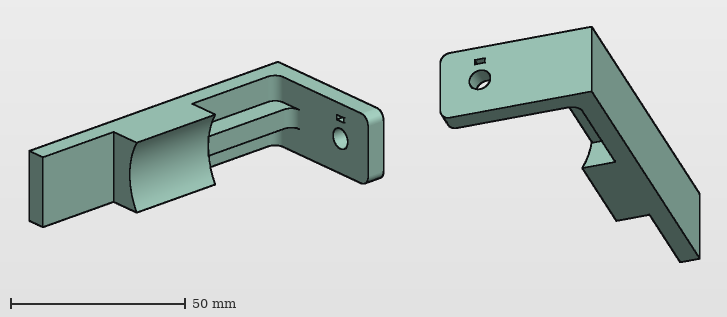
import cadquery as cq

length = 95.0
arm_reach = 46.1
height = 22.0
thickness = 6.0
round_radius = 3.0

pad_length = 30.0
pad_to_arm_back = 38.0
pad_edge_x = 16.1
seat_bottom_x = 13.0

rib_height = 6.1

hole_x = 34.0
hole_diameter = 6.4
slot_width = 3.1
slot_height = 1.5
slot_z = 6.3

plate_inner_x = thickness
arm_back_y = length / 2
arm_front_y = arm_back_y - thickness
pad_back_y = arm_back_y - pad_to_arm_back


def make_bracket():
    """L-shaped body with a filleted inside corner and a rounded arm end."""
    bracket = (
        cq.Workplane("XY")
        .workplane(offset=-height / 2)
        .moveTo(0, -length / 2)
        .lineTo(plate_inner_x, -length / 2)
        .lineTo(plate_inner_x, arm_front_y - round_radius)
        .radiusArc((plate_inner_x + round_radius, arm_front_y), round_radius)
        .lineTo(arm_reach, arm_front_y)
        .lineTo(arm_reach, arm_back_y)
        .lineTo(0, arm_back_y)
        .close()
        .extrude(height)
    )
    return bracket.faces(">X").edges("|Y").fillet(round_radius)


def make_pad():
    """Full-height block whose free side is hollowed by a shallow arc."""
    return (
        cq.Workplane("XZ", origin=(0, pad_back_y, 0))
        .moveTo(0, -height / 2)
        .lineTo(pad_edge_x, -height / 2)
        .threePointArc((seat_bottom_x, 0), (pad_edge_x, height / 2))
        .lineTo(0, height / 2)
        .close()
        .extrude(pad_length)
    )


def make_rib():
    """Rib level with the bottom of the seat, blending into the arm."""
    return (
        cq.Workplane("XY")
        .workplane(offset=-rib_height / 2)
        .moveTo(0, pad_back_y)
        .lineTo(seat_bottom_x, pad_back_y)
        .lineTo(seat_bottom_x, arm_front_y - round_radius)
        .radiusArc((seat_bottom_x + round_radius, arm_front_y), round_radius)
        .lineTo(seat_bottom_x + round_radius, arm_back_y)
        .lineTo(0, arm_back_y)
        .close()
        .extrude(rib_height)
    )


def make_arm_openings():
    """Round hole and the small rectangular slot above it."""
    arm_back = cq.Workplane("XZ", origin=(hole_x, arm_back_y, 0))
    hole = arm_back.circle(hole_diameter / 2).extrude(thickness)
    slot = arm_back.center(0, slot_z).rect(slot_width, slot_height).extrude(thickness)
    return hole.union(slot)


result = make_bracket().union(make_pad()).union(make_rib()).cut(make_arm_openings())